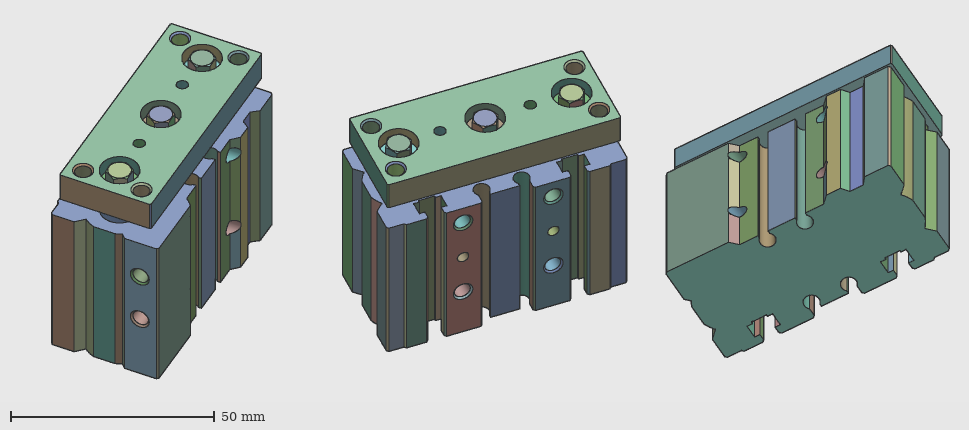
import cadquery as cq
import math


HOUSING_WIDTH = 30.0
HOUSING_LENGTH = 64.0
HOUSING_HEIGHT = 43.0
PLATE_WIDTH = 25.0
PLATE_LENGTH = 62.0
PLATE_THICKNESS = 8.0
PLATE_CORNER_CHAMFER = 0.3
PLATE_GAP = 5.0

SIDE_X = HOUSING_WIDTH / 2
END_Y = HOUSING_LENGTH / 2
PLATE_BOTTOM = HOUSING_HEIGHT + PLATE_GAP
PLATE_TOP = PLATE_BOTTOM + PLATE_THICKNESS

EDGE_CHAMFER = 0.5
SIDE_RECESS = 2.0
CORNER_STEP = 0.5
CORNER_STEP_Y = 27.0

T_SLOT_Y = 19.0
T_SLOT_MOUTH = 4.3
T_SLOT_WIDTH = 7.3
T_SLOT_LIP = 2.4
T_SLOT_DEPTH = 6.1
T_SLOT_RELIEF_DEPTH = 6.6

SENSOR_SLOT_Y = 5.3
SENSOR_SLOT_MOUTH = 2.9
SENSOR_SLOT_DIAMETER = 4.15
SENSOR_SLOT_DEPTH = 4.3

NOTCH_Y = 21.4
NOTCH_MOUTH = 6.9
NOTCH_FLOOR = 3.8
WIDE_RECESS_MOUTH = 27.9
WIDE_RECESS_FLOOR = 23.95

END_BOSS_DIAMETER = 18.0
END_BOSS_SETBACK = 0.5
END_POCKET_X = 8.0
END_POCKET_PORT_X = 5.8
END_POCKET_DEPTH = 3.2

THREAD_HOLE = 4.2
COUNTERSINK = 5.2
COUNTERSINK_DEPTH = (COUNTERSINK - THREAD_HOLE) / 2
DOWEL_HOLE = 3.0
DOWEL_HOLE_DEPTH = 5.0
HOLE_PITCH_Y = 24.0
SIDE_HOLE_PITCH_Z = 24.0
SIDE_HOLE_CENTRE_Z = 26.0
PORT_X = 10.0
PORT_HEIGHTS = (18.0, 32.0)
PORT_DEPTH = 7.7
PLATE_HOLE_PITCH_X = 16.0
PLATE_HOLE_PITCH_Y = 54.0

ROD_Y = 23.0
GUIDE_ROD_DIAMETER = 10.0
PISTON_ROD_DIAMETER = 8.0
PISTON_ROD_FLATS = 6.0
PISTON_ROD_COLLAR = 1.0
RECESS_DIAMETER = 10.0
RECESS_DEPTH = PLATE_THICKNESS / 2
HEX_ACROSS_FLATS = 6.0
HEX_ACROSS_CORNERS = HEX_ACROSS_FLATS / math.cos(math.pi / 6)
HEX_TOP_DIAMETER = 5.8
HEX_CHAMFER_ANGLE = math.radians(30)

ROD_POSITIONS = (-ROD_Y, 0, ROD_Y)


def prism(points):
    """Full-height prism of a closed XY outline."""
    return cq.Workplane("XY").polyline(points).close().extrude(HOUSING_HEIGHT)


def block(x_min, x_max, y_centre, width):
    """Full-height block between two X positions, centred on y_centre."""
    return (
        cq.Workplane("XY")
        .center((x_min + x_max) / 2, y_centre)
        .rect(x_max - x_min, width)
        .extrude(HOUSING_HEIGHT)
    )


def trapezoid_recess(x_outer, x_inner, y_centre, mouth, floor):
    """Full-height recess whose width tapers from its mouth to its floor."""
    return prism([
        (x_outer, y_centre - mouth / 2),
        (x_inner, y_centre - floor / 2),
        (x_inner, y_centre + floor / 2),
        (x_outer, y_centre + mouth / 2),
    ])


def mouth_chamfer(y_centre, mouth):
    """Bevel on both edges of a slot in the -X side."""
    return trapezoid_recess(
        -SIDE_X, -SIDE_X + EDGE_CHAMFER, y_centre, mouth + 2 * EDGE_CHAMFER, mouth
    )


def t_slot(y_centre):
    """T-slot in the -X side with a relief groove along its floor."""
    neck = block(-SIDE_X, -SIDE_X + T_SLOT_RELIEF_DEPTH, y_centre, T_SLOT_MOUTH)
    head = block(-SIDE_X + T_SLOT_LIP, -SIDE_X + T_SLOT_DEPTH, y_centre, T_SLOT_WIDTH)
    return neck.union(head).union(mouth_chamfer(y_centre, T_SLOT_MOUTH))


def sensor_slot(side, y_centre):
    """Keyhole-shaped sensor slot; side is -1 or 1 for the -X or +X side."""
    centre_x = side * (SIDE_X - SENSOR_SLOT_DEPTH)
    neck = block(*sorted((centre_x, side * SIDE_X)), y_centre, SENSOR_SLOT_MOUTH)
    bore = (
        cq.Workplane("XY")
        .center(centre_x, y_centre)
        .circle(SENSOR_SLOT_DIAMETER / 2)
        .extrude(HOUSING_HEIGHT)
    )
    return neck.union(bore)


def end_pocket(end, left_x, right_x):
    """Pocket in an end face that leaves a round boss around the guide rod."""
    floor_y = END_Y - END_POCKET_DEPTH
    pocket = prism([
        (left_x, end * END_Y),
        (left_x + END_POCKET_DEPTH, end * floor_y),
        (right_x - END_POCKET_DEPTH, end * floor_y),
        (right_x, end * END_Y),
    ])
    boss_tip = END_Y - END_BOSS_SETBACK
    boss = (
        cq.Workplane("XY")
        .center(0, end * ROD_Y)
        .circle(END_BOSS_DIAMETER / 2)
        .extrude(HOUSING_HEIGHT)
        .intersect(block(-SIDE_X, SIDE_X, 0, 2 * boss_tip))
    )
    return pocket.cut(boss)


def countersunk_hole(workplane, length):
    """Thread hole with a 45 degree countersink, running along the workplane normal."""
    hole = workplane.circle(THREAD_HOLE / 2).extrude(length)
    countersink = (
        workplane.circle(COUNTERSINK / 2)
        .workplane(offset=COUNTERSINK_DEPTH)
        .circle(THREAD_HOLE / 2)
        .loft(combine=False)
    )
    return hole.union(countersink)


def side_plane(y, z):
    """Workplane on the -X side, facing into the housing."""
    return cq.Workplane(cq.Plane((-SIDE_X, y, z), xDir=(0, 1, 0), normal=(1, 0, 0)))


def port_plane(z):
    """Workplane on the -Y end at an air port, facing into the housing."""
    return cq.Workplane(cq.Plane((PORT_X, -END_Y, z), xDir=(1, 0, 0), normal=(0, 1, 0)))


def make_housing():
    housing = block(-SIDE_X, SIDE_X, 0, HOUSING_LENGTH)

    for end in (-1, 1):
        housing = housing.cut(prism([
            (-SIDE_X, end * CORNER_STEP_Y),
            (-SIDE_X + CORNER_STEP, end * (CORNER_STEP_Y + CORNER_STEP)),
            (-SIDE_X + CORNER_STEP, end * END_Y),
            (-SIDE_X, end * END_Y),
        ]))
    housing = housing.edges("|Z and (<Y or >Y)").chamfer(EDGE_CHAMFER)

    middle_width = 2 * SENSOR_SLOT_Y + SENSOR_SLOT_MOUTH
    housing = housing.cut(block(-SIDE_X, -SIDE_X + SIDE_RECESS, 0, middle_width))
    housing = housing.cut(mouth_chamfer(0, middle_width))
    for y in (-T_SLOT_Y, T_SLOT_Y):
        housing = housing.cut(t_slot(y))

    recess_floor_x = SIDE_X - SIDE_RECESS
    housing = housing.cut(
        trapezoid_recess(SIDE_X, recess_floor_x, NOTCH_Y, NOTCH_MOUTH, NOTCH_FLOOR)
    )
    housing = housing.cut(
        trapezoid_recess(SIDE_X, recess_floor_x, 0, WIDE_RECESS_MOUTH, WIDE_RECESS_FLOOR)
    )

    for side in (-1, 1):
        for y in (-SENSOR_SLOT_Y, SENSOR_SLOT_Y):
            housing = housing.cut(sensor_slot(side, y))

    housing = housing.cut(end_pocket(1, -END_POCKET_X, END_POCKET_X))
    housing = housing.cut(end_pocket(-1, -END_POCKET_X, END_POCKET_PORT_X))

    for y in (-HOLE_PITCH_Y / 2, HOLE_PITCH_Y / 2):
        for offset in (-SIDE_HOLE_PITCH_Z / 2, SIDE_HOLE_PITCH_Z / 2):
            mouth = side_plane(y, SIDE_HOLE_CENTRE_Z + offset)
            housing = housing.cut(countersunk_hole(mouth, HOUSING_WIDTH))
        dowel_mouth = side_plane(y, SIDE_HOLE_CENTRE_Z)
        housing = housing.cut(dowel_mouth.circle(DOWEL_HOLE / 2).extrude(DOWEL_HOLE_DEPTH))

    for z in PORT_HEIGHTS:
        housing = housing.cut(countersunk_hole(port_plane(z), PORT_DEPTH))
    return housing


def make_hex_end(y):
    """Hexagonal rod end, flush with the plate top, its corners bevelled by a cone."""
    hexagon = (
        cq.Workplane("XY", origin=(0, y, PLATE_TOP - RECESS_DEPTH))
        .transformed(rotate=(0, 0, 90))
        .polygon(6, HEX_ACROSS_CORNERS)
        .extrude(RECESS_DEPTH)
    )
    top_radius = HEX_TOP_DIAMETER / 2
    base_radius = top_radius + RECESS_DEPTH / math.tan(HEX_CHAMFER_ANGLE)
    cone = cq.Solid.makeCone(
        base_radius, top_radius, RECESS_DEPTH, pnt=cq.Vector(0, y, PLATE_TOP - RECESS_DEPTH)
    )
    return hexagon.intersect(cq.Workplane(cone))


def make_rod(y, diameter):
    """Round rod between the housing top and the plate."""
    return (
        cq.Workplane("XY", origin=(0, y, HOUSING_HEIGHT))
        .circle(diameter / 2)
        .extrude(PLATE_GAP)
    )


def make_piston_rod():
    """Centre rod with two wrench flats above a short round collar."""
    flat_bottom = HOUSING_HEIGHT + PISTON_ROD_COLLAR
    collar = (
        cq.Workplane("XY", origin=(0, 0, HOUSING_HEIGHT))
        .circle(PISTON_ROD_DIAMETER / 2)
        .extrude(PISTON_ROD_COLLAR)
    )
    flatted = make_rod(0, PISTON_ROD_DIAMETER).intersect(
        cq.Workplane("XY", origin=(0, 0, flat_bottom))
        .rect(PISTON_ROD_FLATS, PISTON_ROD_DIAMETER)
        .extrude(PLATE_BOTTOM - flat_bottom)
    )
    return collar.union(flatted)


def make_tool_plate():
    plate = (
        cq.Workplane("XY", origin=(0, 0, PLATE_BOTTOM))
        .rect(PLATE_WIDTH, PLATE_LENGTH)
        .extrude(PLATE_THICKNESS)
        .edges("|Z")
        .chamfer(PLATE_CORNER_CHAMFER)
    )

    for y in ROD_POSITIONS:
        recess = (
            cq.Workplane("XY", origin=(0, y, PLATE_TOP - RECESS_DEPTH))
            .circle(RECESS_DIAMETER / 2)
            .extrude(RECESS_DEPTH)
        )
        plate = plate.cut(recess).union(make_hex_end(y))

    for x in (-PLATE_HOLE_PITCH_X / 2, PLATE_HOLE_PITCH_X / 2):
        for y in (-PLATE_HOLE_PITCH_Y / 2, PLATE_HOLE_PITCH_Y / 2):
            mouth = cq.Workplane(cq.Plane((x, y, PLATE_TOP), normal=(0, 0, -1)))
            plate = plate.cut(countersunk_hole(mouth, PLATE_THICKNESS))

    for y in (-HOLE_PITCH_Y / 2, HOLE_PITCH_Y / 2):
        dowel_hole = (
            cq.Workplane("XY", origin=(0, y, PLATE_BOTTOM))
            .circle(DOWEL_HOLE / 2)
            .extrude(PLATE_THICKNESS)
        )
        plate = plate.cut(dowel_hole)

    for y in (-ROD_Y, ROD_Y):
        plate = plate.union(make_rod(y, GUIDE_ROD_DIAMETER))
    return plate.union(make_piston_rod())


housing = make_housing().solids()
tool_plate = make_tool_plate().solids()

result = cq.Compound.makeCompound([housing.val(), tool_plate.val()])